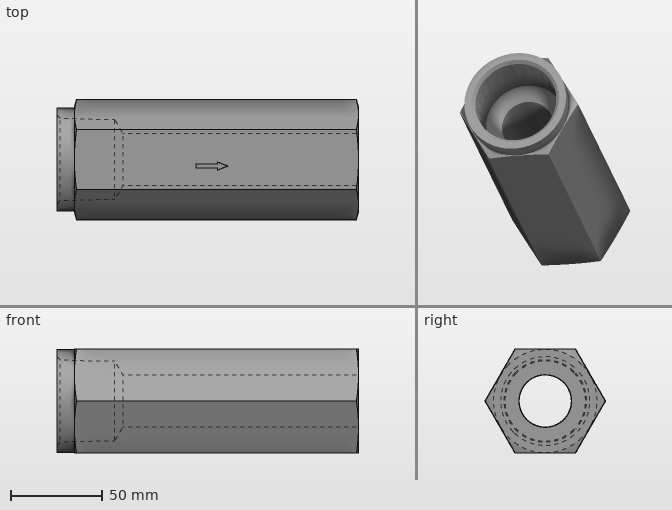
import cadquery as cq
import math

total_length = 165.1
across_flats = 57.15
collar_diameter = 56.64
collar_length = 9.525
corner_chamfer_angle = 15.0

mouth_diameter = 48.7
thread_entry_diameter = 45.2
thread_end_diameter = 44.04
lead_in_depth = 1.75
thread_depth = 20.3
port_depth = 31.5
seat_half_angle = 59.0
through_diameter = 28.57

arrow_start = 76.0
arrow_centre_y = -3.6
arrow_length = 17.5
arrow_shaft_width = 2.2
arrow_head_length = 5.5
arrow_head_width = 4.4
engraving_depth = 0.1

across_corners = across_flats / math.cos(math.radians(30))
corner_radius = across_corners / 2
corner_chamfer_length = (across_corners - across_flats) / 2 * math.tan(
    math.radians(corner_chamfer_angle)
)
seat_length = (thread_end_diameter - through_diameter) / 2 / math.tan(
    math.radians(seat_half_angle)
)


def revolve_about_x(points):
    """Solid of revolution about X from (x, radius) points."""
    return cq.Workplane("XY").polyline(points).close().revolve(360, (0, 0, 0), (1, 0, 0))


def hexagonal_body():
    """Hexagonal bar, flats up and down, with its corners turned off at both ends."""
    bar = (
        cq.Workplane("YZ", origin=(collar_length, 0, 0))
        .polygon(6, across_corners)
        .extrude(total_length - collar_length)
    )
    turned_envelope = revolve_about_x([
        (collar_length, 0),
        (collar_length, across_flats / 2),
        (collar_length + corner_chamfer_length, corner_radius),
        (total_length - corner_chamfer_length, corner_radius),
        (total_length, across_flats / 2),
        (total_length, 0),
    ])
    return bar.intersect(turned_envelope)


def collar():
    """Round collar at the port end."""
    return cq.Workplane("YZ").circle(collar_diameter / 2).extrude(collar_length)


def bore():
    """Chamfered, tapered port, straight relief, conical seat and through hole."""
    return revolve_about_x([
        (0, 0),
        (0, mouth_diameter / 2),
        (lead_in_depth, thread_entry_diameter / 2),
        (thread_depth, thread_end_diameter / 2),
        (port_depth, thread_end_diameter / 2),
        (port_depth + seat_length, through_diameter / 2),
        (total_length, through_diameter / 2),
        (total_length, 0),
    ])


def flow_arrow():
    """Shallow arrow cut in the top flat, pointing along +X."""
    neck_x = arrow_length - arrow_head_length
    return (
        cq.Workplane("XY", origin=(arrow_start, arrow_centre_y, across_flats / 2))
        .polyline([
            (0, -arrow_shaft_width / 2),
            (neck_x, -arrow_shaft_width / 2),
            (neck_x, -arrow_head_width / 2),
            (arrow_length, 0),
            (neck_x, arrow_head_width / 2),
            (neck_x, arrow_shaft_width / 2),
            (0, arrow_shaft_width / 2),
        ])
        .close()
        .extrude(-engraving_depth)
    )


result = hexagonal_body().union(collar()).cut(bore()).cut(flow_arrow())